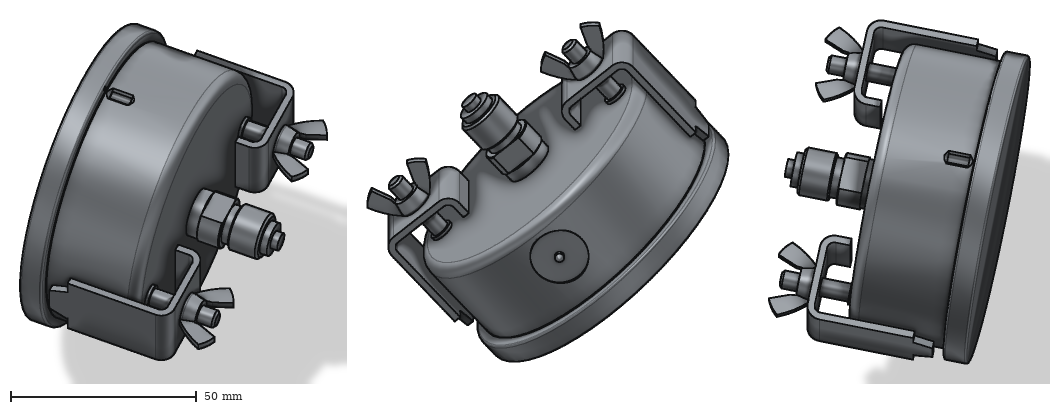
import cadquery as cq
import math


bezel_diameter = 84.8
bezel_depth = 6.45
bezel_round = 0.6
case_diameter = 79.0
case_back = 33.4
case_back_round = 3.0
case_radius = case_diameter / 2
seam_width = 0.3
seam_depth = 0.3

recess_start = 8.1
recess_end = 13.9
recess_half_width = 1.9
recess_axis_height = 1.3
groove_half_width = 1.2

spot_x = 21.1
spot_diameter = 15.7
spot_depth = 0.9
pin_diameter = 2.5
pin_straight_depth = 0.35

collar_diameter = 13.5
collar_end = 36.7
wrench_diameter = 14.4
wrench_flats = 11.2
wrench_end = 43.2
wrench_chamfer = 0.3
neck_diameter = 11.0
neck_end = 45.4
nut_diameter = 13.2
nut_end = 54.2
nut_front_chamfer = 0.4
nut_back_chamfer = 0.7
nozzle_diameter = 9.5
nozzle_end = 56.25
tip_diameter = 5.0
tip_end = 58.3

clamp_span = 86
strip_thickness = 2.0
strip_width = 20.0
bracket_back = 44.4
bracket_height = 24.1
bend_radius = 3.95
short_arm_start = 36.5
shoulder_x = 14.5
tab_start = 9.2
tab_root_width = 12
tab_tip_width = 8.0

stud_offset = clamp_span / 2 - bracket_height / 2
stud_diameter = 5.0
stud_end = 53.4
stud_chamfer = 0.7
stud_collar_diameter = 6.5
stud_collar_length = 0.95
hub_diameter = 9.5
hub_rim = 0.5
hub_length = 4.0
hub_end_diameter = 7.9
wing_thickness = 2.15

wing_root_outer = (0, 4.9)
wing_back_bulge = (4.3, 8.4)
wing_tip_outer = (8.0, 10.4)
wing_tip_bulge = (9.7, 8.6)
wing_tip_inner = (11.0, 6.3)
wing_root_inner = (5.7, 4.1)


def rod(diameter, start, end, y=0):
    """Cylinder along X."""
    return cq.Workplane("YZ", origin=(start, y, 0)).circle(diameter / 2).extrude(end - start)


def make_case():
    bezel = rod(bezel_diameter, 0, bezel_depth).edges().fillet(bezel_round)
    case = rod(case_diameter, bezel_depth / 2, case_back).faces(">X").edges().fillet(case_back_round)
    seam = rod(case_diameter, bezel_depth, bezel_depth + seam_width)
    seam = seam.cut(rod(case_diameter - 2 * seam_depth, bezel_depth, bezel_depth + seam_width))
    return case.cut(seam).union(bezel)


def make_plug_recess():
    """Cylinder with 45 degree conical ends, plus a narrower groove along its floor."""
    radius = math.hypot(recess_half_width, recess_axis_height)
    drum = (
        cq.Workplane("XY", origin=(0, 0, case_radius + recess_axis_height))
        .polyline([
            (recess_start - radius, 0),
            (recess_start, radius),
            (recess_end, radius),
            (recess_end + radius, 0),
        ])
        .close()
        .revolve(360, (0, 0, 0), (1, 0, 0))
    )
    edge_depth = math.sqrt(radius**2 - groove_half_width**2) - recess_axis_height
    groove = rod(2 * math.hypot(groove_half_width, edge_depth), recess_start, recess_end)
    return drum.union(groove.translate((0, 0, case_radius)))


def make_spot_face():
    floor = cq.Workplane("XY", origin=(spot_x, 0, spot_depth - case_radius))
    return floor.circle(spot_diameter / 2).extrude(-2 * spot_depth)


def make_pin():
    """Round pin with a 45 degree point, rooted inside the case."""
    pin_radius = pin_diameter / 2
    shoulder_z = -case_radius - pin_straight_depth
    return (
        cq.Workplane("XZ", origin=(spot_x, 0, 0))
        .moveTo(0, 2 * spot_depth - case_radius)
        .lineTo(pin_radius, 2 * spot_depth - case_radius)
        .lineTo(pin_radius, shoulder_z)
        .lineTo(0, shoulder_z - pin_radius)
        .close()
        .revolve(360, (0, 0, 0), (0, 1, 0))
    )


def make_connector():
    wrench = rod(wrench_diameter, collar_end, wrench_end).faces(">X").edges().chamfer(wrench_chamfer)
    wrench = wrench.intersect(
        cq.Workplane("XY").box(2 * wrench_end, wrench_diameter, wrench_flats)
    )
    nut = rod(nut_diameter, neck_end, nut_end)
    nut = nut.faces("<X").edges().chamfer(nut_front_chamfer)
    nut = nut.faces(">X").edges().chamfer(nut_back_chamfer)
    return (
        rod(collar_diameter, case_back, collar_end)
        .union(wrench)
        .union(rod(neck_diameter, wrench_end, neck_end))
        .union(nut)
        .union(rod(nozzle_diameter, nut_end, nozzle_end))
        .union(rod(tip_diameter, nozzle_end, tip_end))
    )


def make_bracket():
    """J-shaped strip on the +Y side, with a tapered tab at the front of its long arm."""
    outer_y = clamp_span / 2
    inner_y = outer_y - bracket_height
    strip = (
        cq.Workplane("XY")
        .moveTo(tab_start, outer_y)
        .lineTo(bracket_back, outer_y)
        .lineTo(bracket_back, inner_y)
        .lineTo(short_arm_start, inner_y)
        .lineTo(short_arm_start, inner_y + strip_thickness)
        .lineTo(bracket_back - strip_thickness, inner_y + strip_thickness)
        .lineTo(bracket_back - strip_thickness, outer_y - strip_thickness)
        .lineTo(tab_start, outer_y - strip_thickness)
        .close()
        .extrude(strip_width / 2, both=True)
    )
    inside_bends = cq.selectors.BoxSelector(
        (short_arm_start + strip_thickness, inner_y + strip_thickness / 2, -strip_width),
        (bracket_back - strip_thickness / 2, outer_y - strip_thickness / 2, strip_width),
    )
    strip = strip.edges("|Z").edges(inside_bends).fillet(bend_radius - strip_thickness)
    strip = strip.faces(">X").edges("|Z").fillet(bend_radius)
    outline = (
        cq.Workplane("XZ")
        .polyline([
            (tab_start, tab_tip_width / 2),
            (shoulder_x, tab_root_width / 2),
            (shoulder_x, strip_width / 2),
            (bracket_back, strip_width / 2),
            (bracket_back, -strip_width / 2),
            (shoulder_x, -strip_width / 2),
            (shoulder_x, -tab_root_width / 2),
            (tab_start, -tab_tip_width / 2),
        ])
        .close()
        .extrude(-clamp_span)
    )
    return strip.intersect(outline)


def make_stud():
    stud = rod(stud_diameter, case_back, stud_end, stud_offset).faces(">X").edges().chamfer(stud_chamfer)
    collar = rod(stud_collar_diameter, case_back, case_back + stud_collar_length, stud_offset)
    return stud.union(collar)


def make_wing():
    """Wing on the +Y side of the nut, reaching in to the stud axis."""
    return (
        cq.Workplane("XY")
        .moveTo(0, 0)
        .lineTo(*wing_root_outer)
        .threePointArc(wing_back_bulge, wing_tip_outer)
        .threePointArc(wing_tip_bulge, wing_tip_inner)
        .lineTo(*wing_root_inner)
        .lineTo(hub_length, hub_end_diameter / 2)
        .lineTo(hub_length, 0)
        .close()
        .extrude(wing_thickness / 2, both=True)
    )


def make_wing_nut():
    hub = (
        cq.Workplane("XY")
        .polyline([
            (0, 0),
            (0, hub_diameter / 2),
            (hub_rim, hub_diameter / 2),
            (hub_length, hub_end_diameter / 2),
            (hub_length, 0),
        ])
        .close()
        .revolve(360, (0, 0, 0), (1, 0, 0))
    )
    wing = make_wing()
    nut = hub.union(wing).union(wing.mirror("XZ"))
    return nut.translate((bracket_back, stud_offset, 0))


clamp = make_bracket().union(make_stud()).union(make_wing_nut())

result = (
    make_case()
    .cut(make_plug_recess())
    .cut(make_spot_face())
    .union(make_pin())
    .union(make_connector())
    .union(clamp)
    .union(clamp.mirror("XZ"))
)